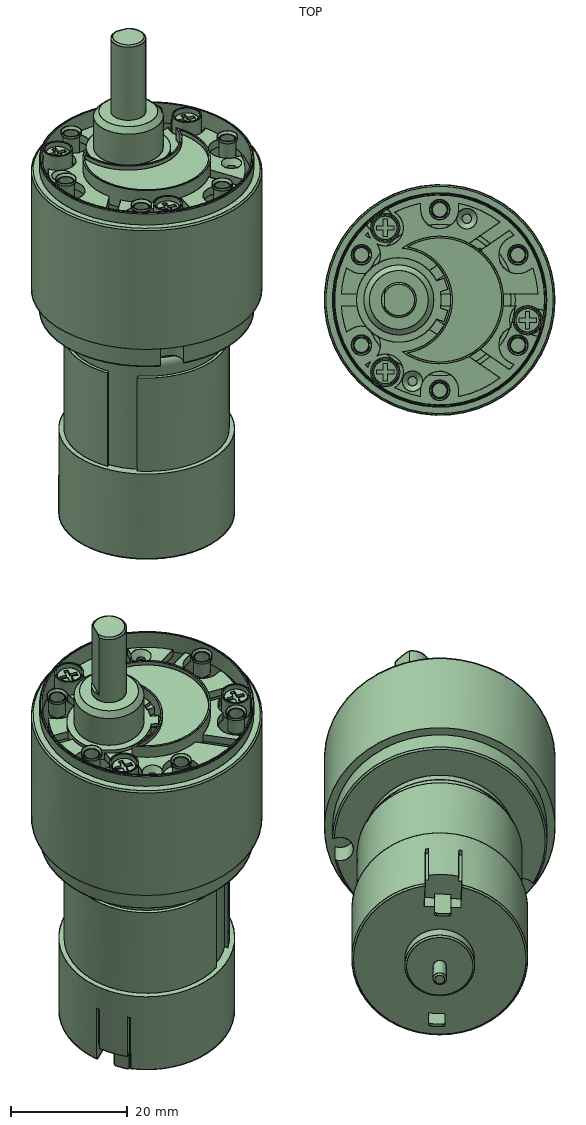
import cadquery as cq
import math

rear_boss_z = 4.55
cap_bottom_z = 6.9
cap_top_z = 24.2
sleeve_top_z = 43.0
shoulder_start_z = 44.5
shoulder_end_z = 46.2
gearbox_bottom_z = 47.7
housing_bottom_z = 52.2
housing_top_z = 76.4
rim_top_z = 78.75
shaft_boss_top_z = 84.18
flat_bottom_z = 85.5
shaft_top_z = 99.2

rear_shaft_d = 2.3
rear_boss_d = 12.0
cap_d = 30.2
sleeve_d = 28.4
can_d = 27.2
shoulder_top_d = 24.5
neck_d = 26.0
flange_d = 36.8
housing_d = 39.6
shaft_boss_d = 12.0
shaft_d = 6.0

edge_chamfer = 0.3

shaft_x = -7.0
shaft_flat_depth = 0.5
shaft_boss_chamfer = 0.95

terminal_angles = (45, 225)
terminal_radius = 10.95
terminal_width = 2.8
terminal_thickness = 0.5
terminal_bottom_z = 3.3
terminal_tip_chamfer = 0.3
tab_angle = 225
tab_slot_offset = 2.87
tab_slot_width = 0.55
tab_slot_depth = 1.2
tab_slot_top_z = 19.0
window_top_z = 9.93
window_inner_radius = 10.4

sleeve_gap_angle = -44
sleeve_gap_width = 5.3
groove_angles = (127, -13)
groove_d = 4.6
groove_radius = 17.2

recess_d = 36.0
recess_depth = 4.0
plateau_depth = 2.45
boss_pad_depth = 1.75
crescent_depth = 0.8

plateau_d = 33.8
web_width = 2.1
diagonal_web_angle = 34.5
diagonal_web_offset = 4.1
crescent_d = 21.9
crescent_wall = 0.3
crescent_bite_d = 17.8
boss_pad_d = 14.5
stop_pad_reach = 1.3
stop_pad_width = 2.0
stop_pad_angles = (-19, 19)

mount_circle_radius = 15.5
mount_angles = (30, 90, 150, 210, 270, 330)
mount_bore_d = 2.5
mount_mouth_d = 3.5
mount_chamfer_d = 3.4
mount_shank_d = 2.9
mount_collar_height = 0.5
mount_clearance_d = 6.5

screw_angles = (127, 233, -13)
screw_clearance_d = 6.2
screw_tube_d = 5.0
screw_pocket_d = 4.5
screw_head_d = 4.0
screw_pocket_depth = 1.5
screw_head_depth = 0.8
cross_length = 3.0
cross_width = 0.7
cross_depth = 0.5

dimple_circle_radius = 14.7
dimple_angles = (71.5, 251.5)
dimple_d = 3.5
dimple_hole_d = 1.6


def cylinder(diameter, bottom, top, x=0.0, y=0.0):
    base = cq.Workplane("XY", origin=(x, y, bottom))
    return base.circle(diameter / 2).extrude(top - bottom)


def block(x_min, x_max, width, bottom, top, y=0.0):
    """Box from x_min to x_max, centred on y."""
    base = cq.Workplane("XY", origin=((x_min + x_max) / 2, y, bottom))
    return base.rect(x_max - x_min, width).extrude(top - bottom)


def turned(body, angle):
    return body.rotate((0, 0, 0), (0, 0, 1), angle)


def make_can():
    """Steel can with its rounded shoulder and the neck above it."""
    can_r = can_d / 2
    top_r = shoulder_top_d / 2
    bulge = 1 - math.sqrt(0.5)
    mid_r = can_r - (can_r - top_r) * bulge
    mid_z = shoulder_end_z - (shoulder_end_z - shoulder_start_z) * bulge
    can = (
        cq.Workplane("XZ")
        .moveTo(0, cap_bottom_z)
        .lineTo(can_r, cap_bottom_z)
        .lineTo(can_r, shoulder_start_z)
        .threePointArc((mid_r, mid_z), (top_r, shoulder_end_z))
        .lineTo(0, shoulder_end_z)
        .close()
        .revolve(360, (0, 0, 0), (0, 1, 0))
    )
    return can.union(cylinder(neck_d, shoulder_end_z, gearbox_bottom_z))


def make_sleeve():
    """Flux sleeve around the can, open along one lengthwise gap."""
    sleeve = cylinder(sleeve_d, cap_top_z, sleeve_top_z)
    sleeve = sleeve.cut(cylinder(can_d, cap_top_z, sleeve_top_z))
    gap = block(0, sleeve_d, sleeve_gap_width, cap_top_z, sleeve_top_z)
    return sleeve.cut(turned(gap, sleeve_gap_angle))


def make_cap():
    """End cap with a spring tab between two slots and a window below the tab."""
    cap_r = cap_d / 2
    cap = cylinder(cap_d, cap_bottom_z, cap_top_z).faces("<Z").chamfer(edge_chamfer)
    for side in (-1, 1):
        slot = block(
            cap_r - tab_slot_depth,
            cap_d,
            tab_slot_width,
            cap_bottom_z,
            tab_slot_top_z,
            side * tab_slot_offset,
        )
        cap = cap.cut(turned(slot, tab_angle))
    return cap


def make_window():
    width = 2 * tab_slot_offset + tab_slot_width
    window = block(window_inner_radius, cap_d, width, cap_bottom_z, window_top_z)
    return turned(window, tab_angle)


def make_terminal(angle):
    blade = block(
        terminal_radius - terminal_thickness / 2,
        terminal_radius + terminal_thickness / 2,
        terminal_width,
        terminal_bottom_z,
        window_top_z + terminal_thickness,
    )
    blade = blade.edges("<Z and |X").chamfer(terminal_tip_chamfer)
    return turned(blade, angle)


def make_motor():
    motor = make_can().union(make_sleeve()).union(make_cap()).cut(make_window())
    rear_boss = cylinder(rear_boss_d, rear_boss_z, cap_bottom_z).faces("<Z").chamfer(edge_chamfer)
    rear_shaft = cylinder(rear_shaft_d, 0, rear_boss_z).faces("<Z").chamfer(edge_chamfer)
    motor = motor.union(rear_boss).union(rear_shaft)
    for angle in terminal_angles:
        motor = motor.union(make_terminal(angle))
    return motor


def make_housing():
    flange = cylinder(flange_d, gearbox_bottom_z, housing_bottom_z).faces("<Z").chamfer(edge_chamfer)
    for angle in groove_angles:
        groove = cylinder(groove_d, gearbox_bottom_z, housing_bottom_z, groove_radius)
        flange = flange.cut(turned(groove, angle))
    housing = cylinder(housing_d, housing_bottom_z, housing_top_z).faces(">Z").chamfer(edge_chamfer)
    rim = cylinder(flange_d, housing_top_z, rim_top_z).faces(">Z").chamfer(edge_chamfer / 2)
    recess = cylinder(recess_d, rim_top_z - recess_depth, rim_top_z)
    return flange.union(housing).union(rim).cut(recess)


def make_plateau():
    """Raised floor of the recess, divided by webs and cleared around the bosses."""
    bottom = rim_top_z - recess_depth
    top = rim_top_z - plateau_depth
    plateau = cylinder(plateau_d, bottom, top)
    plateau = plateau.cut(block(-plateau_d, plateau_d, web_width, bottom, top))
    for side in (-1, 1):
        web = block(0, plateau_d, web_width, bottom, top, side * diagonal_web_offset)
        plateau = plateau.cut(turned(web, side * diagonal_web_angle))
    for angle in mount_angles:
        clearance = cylinder(mount_clearance_d, bottom, top, mount_circle_radius)
        clearance = clearance.union(block(mount_circle_radius, plateau_d, mount_clearance_d, bottom, top))
        plateau = plateau.cut(turned(clearance, angle))
    for angle in screw_angles:
        clearance = cylinder(screw_clearance_d, bottom, top, mount_circle_radius)
        plateau = plateau.cut(turned(clearance, angle))
    for angle in dimple_angles:
        plateau = plateau.cut(turned(make_dimple(), angle))
    return plateau


def make_dimple():
    """Conical dimple in the plateau with a small hole at its centre."""
    top = rim_top_z - plateau_depth
    cone_bottom = top - (dimple_d - dimple_hole_d) / 2
    cone = (
        cq.Workplane("XY", origin=(dimple_circle_radius, 0, cone_bottom))
        .circle(dimple_hole_d / 2)
        .workplane(offset=top - cone_bottom)
        .circle(dimple_d / 2)
        .loft()
    )
    hole_bottom = rim_top_z - recess_depth
    return cone.union(cylinder(dimple_hole_d, hole_bottom, cone_bottom, dimple_circle_radius))


def make_crescent():
    """Crescent-shaped pad with a thin wall along its outline."""
    bottom = rim_top_z - recess_depth

    def outline(shrink, base, top):
        disc = cylinder(crescent_d - 2 * shrink, base, top)
        return disc.cut(cylinder(crescent_bite_d + 2 * shrink, base, top, shaft_x))

    floor_z = rim_top_z - crescent_depth
    return outline(0, bottom, rim_top_z).cut(outline(crescent_wall, floor_z, rim_top_z))


def make_shaft_boss():
    """Shaft boss with the round pad and the two stop pads at its foot."""
    bottom = rim_top_z - recess_depth
    pad_top = rim_top_z - boss_pad_depth
    boss = cylinder(shaft_boss_d, bottom, shaft_boss_top_z, shaft_x)
    boss = boss.faces(">Z").chamfer(shaft_boss_chamfer)
    boss = boss.union(cylinder(boss_pad_d, bottom, pad_top, shaft_x))
    pad_radius = boss_pad_d / 2
    for angle in stop_pad_angles:
        pad = block(0, pad_radius + stop_pad_reach, stop_pad_width, bottom, pad_top)
        boss = boss.union(turned(pad, angle).translate((shaft_x, 0, 0)))
    return boss


def make_shaft():
    shaft = cylinder(shaft_d, shaft_boss_top_z, shaft_top_z, shaft_x).faces(">Z").chamfer(edge_chamfer)
    flat_x = shaft_x - shaft_d / 2 + shaft_flat_depth
    return shaft.cut(block(flat_x - shaft_d, flat_x, shaft_d, flat_bottom_z, shaft_top_z))


def make_mount_post():
    """Hollow post with a collar and a countersunk mouth."""
    bottom = rim_top_z - recess_depth
    x = mount_circle_radius
    post = cylinder(mount_shank_d, bottom, rim_top_z, x)
    post = post.union(cylinder(mount_mouth_d, rim_top_z - mount_collar_height, rim_top_z, x))
    post = post.cut(cylinder(mount_bore_d, bottom, rim_top_z, x))
    mouth_edge = post.faces(">Z").edges(cq.selectors.RadiusNthSelector(0))
    return mouth_edge.chamfer((mount_chamfer_d - mount_bore_d) / 2)


def make_screw_post(angle):
    """Tubular post with a sunken screw head whose cross stays aligned with X and Y."""
    x = mount_circle_radius
    head_top = rim_top_z - screw_head_depth
    pocket_bottom = rim_top_z - screw_pocket_depth
    post = cylinder(screw_tube_d, rim_top_z - recess_depth, rim_top_z, x)
    post = post.cut(cylinder(screw_pocket_d, pocket_bottom, rim_top_z, x))
    head = cylinder(screw_head_d, pocket_bottom, head_top, x)
    half = cross_length / 2
    cross = block(x - half, x + half, cross_width, head_top - cross_depth, head_top)
    cross = cross.union(cross.rotate((x, 0, 0), (x, 0, 1), 90))
    cross = cross.rotate((x, 0, 0), (x, 0, 1), -angle)
    return turned(post.union(head.cut(cross)), angle)


def make_gearbox():
    gearbox = make_housing().union(make_plateau()).union(make_crescent())
    gearbox = gearbox.union(make_shaft_boss()).union(make_shaft())
    for angle in mount_angles:
        gearbox = gearbox.union(turned(make_mount_post(), angle))
    inside = cylinder(recess_d, rim_top_z - recess_depth, rim_top_z)
    for angle in screw_angles:
        gearbox = gearbox.union(make_screw_post(angle).intersect(inside))
    return gearbox


result = make_motor().union(make_gearbox())